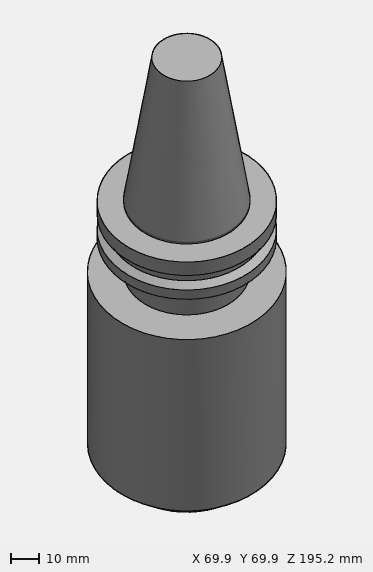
import cadquery as cq

total_height = 195.2
nose_top = 9.4
body_top = 92.0
flange_bottom = 108.2
flange_top = 126.1
lower_rim_height = 4.5
upper_rim_height = 6.5
groove_bevel_height = 1.4
taper_land_height = 0.8

body_diameter = 69.9
nose_diameter = 51.4
neck_diameter = 44.5
flange_diameter = 63.0
groove_diameter = 56.5
taper_tip_diameter = 24.6


def cylinder(diameter, bottom, top):
    """Solid cylinder about Z between two heights."""
    return cq.Workplane("XY").workplane(offset=bottom).circle(diameter / 2).extrude(top - bottom)


def cone(bottom_diameter, top_diameter, bottom, top):
    """Solid truncated cone about Z between two heights."""
    return (
        cq.Workplane("XY")
        .workplane(offset=bottom)
        .circle(bottom_diameter / 2)
        .workplane(offset=top - bottom)
        .circle(top_diameter / 2)
        .loft(ruled=True)
    )


nose = cone(nose_diameter, body_diameter, 0, nose_top)
body = cylinder(body_diameter, nose_top, body_top)

taper_bottom = flange_top + taper_land_height
neck = cylinder(neck_diameter, body_top, taper_bottom)
taper = cone(neck_diameter, taper_tip_diameter, taper_bottom, total_height)

lower_rim_top = flange_bottom + lower_rim_height
upper_rim_bottom = flange_top - upper_rim_height
groove_core = cylinder(groove_diameter, flange_bottom, flange_top)
lower_rim = cylinder(flange_diameter, flange_bottom, lower_rim_top)
upper_rim = cylinder(flange_diameter, upper_rim_bottom, flange_top)
lower_bevel = cone(
    flange_diameter, groove_diameter, lower_rim_top, lower_rim_top + groove_bevel_height
)
upper_bevel = cone(
    groove_diameter, flange_diameter, upper_rim_bottom - groove_bevel_height, upper_rim_bottom
)

result = nose
for section in (body, neck, taper, groove_core, lower_rim, upper_rim, lower_bevel, upper_bevel):
    result = result.union(section)